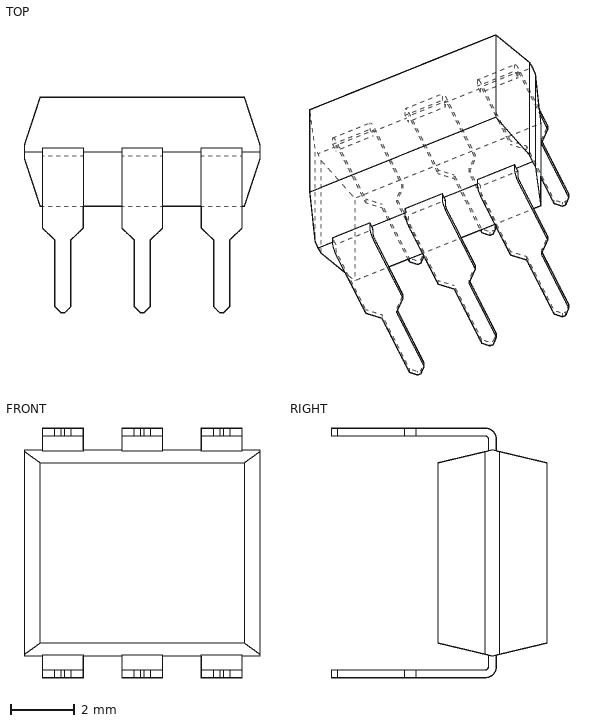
import cadquery as cq

body_width = 7.42
overall_depth = 6.8
overall_height = 7.87

body_depth = 3.45
body_height = 6.5
face_width = 6.44
face_height = 5.68
side_band_depth = 0.46

lead_thickness = 0.25
lead_pitch = 2.5
lead_columns = 3
inner_bend_radius = 0.1
outer_bend_radius = inner_bend_radius + lead_thickness
shoulder_width = 1.29
pin_width = 0.51
pin_length = 2.3
shoulder_taper = 0.37
tip_chamfer = 0.2

tip_y = body_depth / 2 - overall_depth


def make_body():
    """Block with tapered ends (ridge at mid plane) and tapered sides (flat band at mid plane)."""
    y = body_depth / 2
    end_profile = [
        (-y, face_height / 2),
        (0, body_height / 2),
        (y, face_height / 2),
        (y, -face_height / 2),
        (0, -body_height / 2),
        (-y, -face_height / 2),
    ]
    side_profile = [
        (face_width / 2, -y),
        (body_width / 2, -side_band_depth / 2),
        (body_width / 2, side_band_depth / 2),
        (face_width / 2, y),
        (-face_width / 2, y),
        (-body_width / 2, side_band_depth / 2),
        (-body_width / 2, -side_band_depth / 2),
        (-face_width / 2, -y),
    ]
    ends = cq.Workplane("YZ").polyline(end_profile).close().extrude(body_width / 2, both=True)
    sides = cq.Workplane("XY").polyline(side_profile).close().extrude(body_height / 2, both=True)
    return ends.intersect(sides)


def make_bent_strip():
    """Strip rising from the body centre and bent toward -Y along the top."""
    back = lead_thickness / 2
    front = -lead_thickness / 2
    top = overall_height / 2
    underside = top - lead_thickness
    strip = (
        cq.Workplane("YZ")
        .moveTo(front, 0)
        .lineTo(back, 0)
        .lineTo(back, top - outer_bend_radius)
        .radiusArc((back - outer_bend_radius, top), -outer_bend_radius)
        .lineTo(tip_y, top)
        .lineTo(tip_y, underside)
        .lineTo(front - inner_bend_radius, underside)
        .radiusArc((front, underside - inner_bend_radius), inner_bend_radius)
        .close()
    )
    return strip.extrude(shoulder_width / 2, both=True)


def make_lead():
    """Bent strip trimmed to a wide shoulder, a narrow pin and a chamfered tip."""
    pin_start = tip_y + pin_length
    right_edge = [
        (shoulder_width / 2, lead_thickness),
        (shoulder_width / 2, pin_start + shoulder_taper),
        (pin_width / 2, pin_start),
        (pin_width / 2, tip_y + tip_chamfer),
        (pin_width / 2 - tip_chamfer, tip_y),
    ]
    left_edge = [(-x, y) for x, y in reversed(right_edge)]
    outline = cq.Workplane("XY").polyline(right_edge + left_edge).close().extrude(overall_height)
    return make_bent_strip().intersect(outline)


result = make_body()
upper_lead = make_lead()
lower_lead = upper_lead.mirror("XY")
for column in range(lead_columns):
    lead_x = (column - (lead_columns - 1) / 2) * lead_pitch
    for lead in (upper_lead, lower_lead):
        result = result.union(lead.translate((lead_x, 0, 0)))